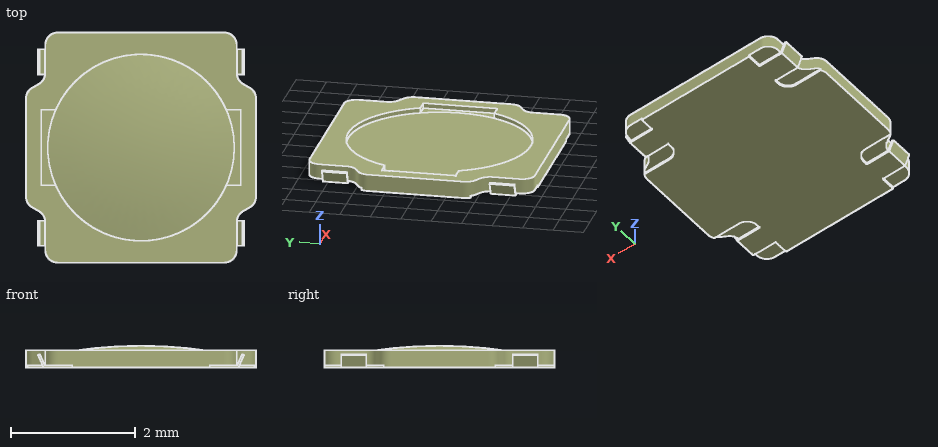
import cadquery as cq
import math

side = 3.7
body_height = 0.28
waist_width = 3.08
shoulder_y = 0.903
waist_y = 1.08
outline_radius = 0.205

dome_radius = 1.5
pocket_floor_z = 0.195
slot_length = 3.195
slot_width = 1.215

recess_x = 1.103
recess_y = 0.895
recess_radius = 0.205

sheet = 0.035
lead_width = 0.407
lead_center_y = 1.375
lead_bend_x = 1.565
lead_tip_z = 0.215
lead_tilt = 24.0

dome_top_z = 0.35

half = side / 2
corner_signs = [(sx, sy) for sx in (-1, 1) for sy in (-1, 1)]


def make_outline_block():
    """Plate with a wide middle and two narrower ends, all vertical edges rounded."""
    waist = waist_width / 2
    quarter = [(half, shoulder_y), (waist, waist_y), (waist, half)]
    right_side = [(x, -y) for x, y in reversed(quarter)] + quarter
    left_side = [(-x, -y) for x, y in right_side]
    plate = cq.Workplane("XY").polyline(right_side + left_side).close().extrude(body_height)
    return plate.edges("|Z").fillet(outline_radius)


def make_pocket():
    """Round pocket for the dome, widened by a rectangle along X."""
    depth = body_height - pocket_floor_z
    floor = cq.Workplane("XY").workplane(offset=pocket_floor_z)
    return floor.circle(dome_radius).extrude(depth).union(floor.rect(slot_length, slot_width).extrude(depth))


def make_corner_recess(sx, sy):
    """Shallow cut under one corner, with its inner corner rounded."""
    length = half - recess_x
    width = half - recess_y
    block = cq.Workplane("XY").box(length, width, sheet, centered=(True, True, False))
    inner_edge = f"{'<' if sx > 0 else '>'}X and {'<' if sy > 0 else '>'}Y"
    block = block.edges("|Z").edges(inner_edge).fillet(recess_radius)
    return block.translate((sx * (half + recess_x) / 2, sy * (half + recess_y) / 2, 0))


def make_lead(sx, sy):
    """One bent strip: a flat foot in the recess and a tilted tip outside the housing."""
    tilt = math.radians(lead_tilt)
    inner_bend_x = lead_bend_x + sheet * math.tan(tilt) - sheet / math.cos(tilt)
    inner_tip_x = inner_bend_x + (lead_tip_z - sheet) * math.tan(tilt)
    outer_tip_x = inner_tip_x + sheet * math.cos(tilt)
    outer_tip_z = lead_tip_z - sheet * math.sin(tilt)
    profile = [
        (recess_x, 0),
        (lead_bend_x, 0),
        (outer_tip_x, outer_tip_z),
        (inner_tip_x, lead_tip_z),
        (inner_bend_x, sheet),
        (recess_x, sheet),
    ]
    strip = (
        cq.Workplane("XZ")
        .polyline([(sx * x, z) for x, z in profile])
        .close()
        .extrude(lead_width / 2, both=True)
    )
    return strip.translate((0, sy * lead_center_y, 0))


def make_housing():
    """Housing with its pocket, corner recesses and four leads in one piece."""
    housing = make_outline_block().cut(make_pocket())
    for sx, sy in corner_signs:
        housing = housing.cut(make_corner_recess(sx, sy))
        housing = housing.union(make_lead(sx, sy))
    return housing


def make_dome():
    """Spherical cap that sits on the pocket floor."""
    rise = dome_top_z - pocket_floor_z
    sphere_radius = (dome_radius**2 + rise**2) / (2 * rise)
    half_angle = math.asin(dome_radius / sphere_radius) / 2
    arc_middle = (
        sphere_radius * math.sin(half_angle),
        dome_top_z - sphere_radius * (1 - math.cos(half_angle)),
    )
    return (
        cq.Workplane("XZ")
        .moveTo(0, pocket_floor_z)
        .lineTo(dome_radius, pocket_floor_z)
        .threePointArc(arc_middle, (0, dome_top_z))
        .close()
        .revolve(360, (0, 0, 0), (0, 1, 0))
    )


housing = make_housing()
dome = make_dome()

result = cq.Compound.makeCompound([housing.val(), dome.val()])